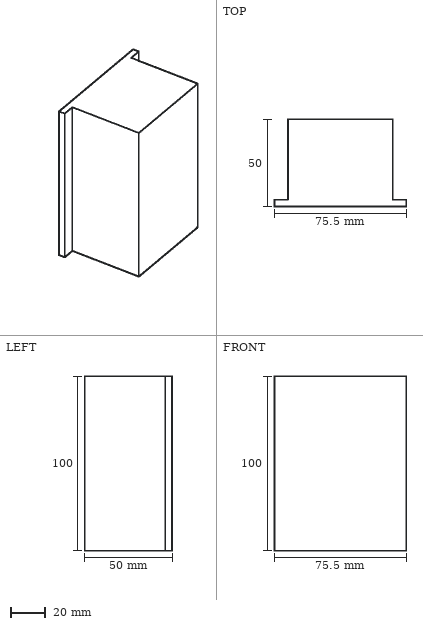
import cadquery as cq

height = 100.0
flange_width = 75.5
flange_thickness = 4.0
body_width = 60.0
total_depth = 50.0

flange = cq.Workplane("XY").box(flange_width, flange_thickness, height, centered=(True, False, True))

body = (
    cq.Workplane("XY")
    .box(body_width, total_depth - flange_thickness, height, centered=(True, False, True))
    .translate((0, flange_thickness, 0))
)

result = flange.union(body)